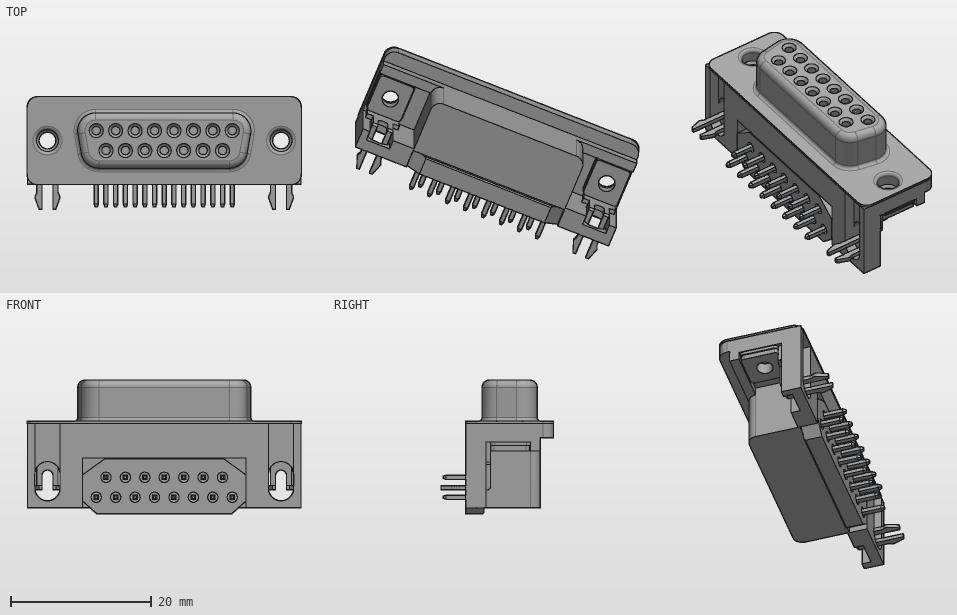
import cadquery as cq
import math


OVERALL_DEPTH = 16.11
OVERALL_HEIGHT = 19.1

FLANGE_LENGTH = 39.14
FLANGE_DEPTH = 12.58
FLANGE_THICKNESS = 0.35
FLANGE_CORNER_RADIUS = 1.5
FRONT_Y = -FLANGE_DEPTH / 2
BACK_Y = FLANGE_DEPTH / 2

MOUNT_SPACING = 33.3
MOUNT_X = MOUNT_SPACING / 2
MOUNT_HOLE_DIAMETER = 3.1
MOUNT_HOLE_LEAD_IN = 0.5
MOUNT_TAPER_TOP_Z = -2.05
NUT_HOLE_DIAMETER = 2.35

SHELL_HEIGHT = 5.86
SHELL_HALF_DEPTH = 3.95
SHELL_CORNER_RADIUS = 2.55
SHELL_BACK_CORNER_X = 9.8
SHELL_SIDE_ANGLE = math.radians(10)
SHELL_TOP_FILLET = 1.05
SHELL_BASE_FILLET = 0.5

HOUSING_LENGTH = 39.0
HOUSING_SETBACK = 0.03
HOUSING_FRONT_Y = FRONT_Y + HOUSING_SETBACK
HOUSING_BOTTOM_Z = -12.38
REAR_LIP_BOTTOM_Z = -2.4
REAR_RIB_BOTTOM_Z = -4.27
REAR_RIB_BACK_Y = BACK_Y - 1.9
CORE_HALF_LENGTH = 11.64
CORE_CORNER_RADIUS = 1.4
FRONT_WALL_THICKNESS = 2.94
FRONT_WALL_BACK_Y = FRONT_Y + FRONT_WALL_THICKNESS
END_POCKET_TOP_Z = -2.97
END_POCKET_BACK_Y = REAR_RIB_BACK_Y - CORE_CORNER_RADIUS

SLOT_WIDTH = 3.56
SLOT_TOP_Z = -5.78
SLOT_BOTTOM_Z = -11.35
CHANNEL_DEPTH = 1.6

OPENING_TOP_Z = -5.28
BLOCK_TOP_Z = -5.42
BLOCK_BOTTOM_Z = SHELL_HEIGHT - OVERALL_HEIGHT
BLOCK_DEPTH = 2.65
BLOCK_TOP_HALF_LENGTH = 8.55
BLOCK_BOTTOM_HALF_LENGTH = 9.63
BLOCK_UPPER_SHOULDER_Z = -7.67
BLOCK_LOWER_SHOULDER_Z = -11.4
BLOCK_EDGE_CHAMFER = 0.2

CONTACT_PITCH = 2.77
CONTACT_ROW_SPACING = 2.84
LONG_ROW_COUNT = 8
SHORT_ROW_COUNT = LONG_ROW_COUNT - 1
SOCKET_DIAMETER = 1.2
SOCKET_MOUTH_DIAMETER = 2.0
SOCKET_MOUTH_ANGLE = 90
SOCKET_DEPTH = 4.0
SHORT_ROW_TAIL_Z = -8.02
TAIL_WIDTH = 0.64
TAIL_REACH = 3.2
TAIL_TIP_LENGTH = 0.45
TAIL_TIP_WIDTH = 0.33
TAIL_RECESS_DIAMETER = 1.47
TAIL_RECESS_DEPTH = 0.5

BRACKET_THICKNESS = 0.63
LEG_THICKNESS = 0.52
LEG_HALF_WIDTH = 2.75
PLATE_HALF_WIDTH = 2.4
STOP_HALF_WIDTH = 2.5
STOP_TOP_Z = -5.8
STOP_HEIGHT = 0.4
BRACKET_CORNER_RADIUS = 0.6
NUT_INSET = 0.15
NUT_THICKNESS = 0.8
NUT_CORNER_RADIUS = 0.5
PRONG_INNER_X = 0.77
PRONG_OUTER_X = 1.53
BARB_X = 1.83
PRONG_TIP_X = 1.2
PRONG_BOTTOM_Z = -9.82
PRONG_REACH = OVERALL_DEPTH - FLANGE_DEPTH
BARB_START_REACH = 1.15
BARB_PEAK_REACH = 1.75
BARB_START_RADIUS = 0.8
BARB_PEAK_RADIUS = 0.4
PRONG_ARCH_TOP_Z = -7.0


def box(x_min, x_max, y_min, y_max, z_min, z_max):
    """Axis-aligned box between the given limits."""
    size = (x_max - x_min, y_max - y_min, z_max - z_min)
    return cq.Workplane("XY").box(*size, centered=False).translate((x_min, y_min, z_min))


def front_plane(y):
    """Plane at the given y: local x along X, local y along Z, extruding toward +Y."""
    return cq.Workplane(cq.Plane(origin=(0, y, 0), xDir=(1, 0, 0), normal=(0, -1, 0)))


def contact_xs(count):
    """X places of one evenly spaced row of contacts."""
    return [(i - (count - 1) / 2) * CONTACT_PITCH for i in range(count)]


def make_shell():
    radius = SHELL_CORNER_RADIUS
    center_y = SHELL_HALF_DEPTH - radius
    back_x = SHELL_BACK_CORNER_X
    front_x = back_x - 2 * center_y * math.tan(SHELL_SIDE_ANGLE)

    def on_corner(x, y, angle):
        return (x + radius * math.cos(angle), y + radius * math.sin(angle))

    def mirrored(point):
        return (-point[0], point[1])

    side = -SHELL_SIDE_ANGLE
    up = math.pi / 2
    front_end = on_corner(front_x, -center_y, -up)
    front_mid = on_corner(front_x, -center_y, (side - up) / 2)
    front_side = on_corner(front_x, -center_y, side)
    back_side = on_corner(back_x, center_y, side)
    back_mid = on_corner(back_x, center_y, (side + up) / 2)
    back_end = on_corner(back_x, center_y, up)
    shell = (
        cq.Workplane("XY")
        .moveTo(*mirrored(front_end))
        .lineTo(*front_end)
        .threePointArc(front_mid, front_side)
        .lineTo(*back_side)
        .threePointArc(back_mid, back_end)
        .lineTo(*mirrored(back_end))
        .threePointArc(mirrored(back_mid), mirrored(back_side))
        .lineTo(*mirrored(front_side))
        .threePointArc(mirrored(front_mid), mirrored(front_end))
        .close()
        .extrude(SHELL_HEIGHT)
    )
    return shell.faces(">Z").edges().fillet(SHELL_TOP_FILLET)


def make_flange_and_shell():
    flange = (
        cq.Workplane("XY")
        .rect(FLANGE_LENGTH, FLANGE_DEPTH)
        .extrude(-FLANGE_THICKNESS)
        .edges("|Z")
        .fillet(FLANGE_CORNER_RADIUS)
    )
    zone_x = MOUNT_X
    zone_y = SHELL_HALF_DEPTH + SHELL_BASE_FILLET
    zone_z = FLANGE_THICKNESS / 2
    joint = cq.selectors.BoxSelector((-zone_x, -zone_y, -zone_z), (zone_x, zone_y, zone_z))
    return flange.union(make_shell()).edges(joint).fillet(SHELL_BASE_FILLET)


def make_housing():
    half = HOUSING_LENGTH / 2
    top = -FLANGE_THICKNESS
    lip = box(-half, half, HOUSING_FRONT_Y, BACK_Y, REAR_LIP_BOTTOM_Z, top)
    lip = lip.edges("|Z and >Y").fillet(FLANGE_CORNER_RADIUS)
    rib = box(-half, half, HOUSING_FRONT_Y, REAR_RIB_BACK_Y, REAR_RIB_BOTTOM_Z, top)
    wall = box(-half, half, HOUSING_FRONT_Y, FRONT_WALL_BACK_Y, HOUSING_BOTTOM_Z, top)
    housing = lip.union(rib).union(wall)
    end_pocket = box(
        -half, half, FRONT_WALL_BACK_Y, END_POCKET_BACK_Y, HOUSING_BOTTOM_Z, END_POCKET_TOP_Z
    )
    core = box(
        -CORE_HALF_LENGTH, CORE_HALF_LENGTH, HOUSING_FRONT_Y, REAR_RIB_BACK_Y, HOUSING_BOTTOM_Z, top
    )
    core = core.edges("|Z and >Y").fillet(CORE_CORNER_RADIUS)
    return housing.cut(end_pocket).union(core)


def cut_channel(body, x):
    """Front channel with a round bottom, and behind it a round-topped slot open downward."""
    half = SLOT_WIDTH / 2
    channel_back_y = FRONT_Y + CHANNEL_DEPTH
    channel = (
        front_plane(FRONT_Y)
        .moveTo(x + half, -FLANGE_THICKNESS)
        .lineTo(x - half, -FLANGE_THICKNESS)
        .lineTo(x - half, SLOT_BOTTOM_Z + half)
        .threePointArc((x, SLOT_BOTTOM_Z), (x + half, SLOT_BOTTOM_Z + half))
        .close()
        .extrude(-CHANNEL_DEPTH)
    )
    slot = (
        front_plane(channel_back_y)
        .moveTo(x - half, HOUSING_BOTTOM_Z)
        .lineTo(x + half, HOUSING_BOTTOM_Z)
        .lineTo(x + half, SLOT_TOP_Z - half)
        .threePointArc((x, SLOT_TOP_Z), (x - half, SLOT_TOP_Z - half))
        .close()
        .extrude(channel_back_y - FRONT_WALL_BACK_Y)
    )
    return body.cut(channel).cut(slot)


def make_contact_block():
    right = [
        (BLOCK_BOTTOM_HALF_LENGTH, BLOCK_BOTTOM_Z),
        (CORE_HALF_LENGTH, BLOCK_LOWER_SHOULDER_Z),
        (CORE_HALF_LENGTH, BLOCK_UPPER_SHOULDER_Z),
        (BLOCK_TOP_HALF_LENGTH, BLOCK_TOP_Z),
    ]
    left = [(-x, z) for x, z in reversed(right)]
    block = front_plane(FRONT_Y).polyline(right + left).close().extrude(-BLOCK_DEPTH)
    return block.faces("<Z").edges(">Y").chamfer(BLOCK_EDGE_CHAMFER)


def cut_opening(body):
    opening = box(
        -CORE_HALF_LENGTH, CORE_HALF_LENGTH, FRONT_Y, FRONT_Y + BLOCK_DEPTH,
        HOUSING_BOTTOM_Z, OPENING_TOP_Z,
    )
    return body.cut(opening)


def make_tail(x, z):
    """Square contact tail with a tapered tip, rooted in its recess."""
    shaft_end_y = FRONT_Y - TAIL_REACH + TAIL_TIP_LENGTH
    root_y = FRONT_Y + TAIL_RECESS_DEPTH
    shaft = (
        front_plane(root_y).center(x, z).rect(TAIL_WIDTH, TAIL_WIDTH).extrude(root_y - shaft_end_y)
    )
    tip = (
        front_plane(shaft_end_y)
        .center(x, z)
        .rect(TAIL_WIDTH, TAIL_WIDTH)
        .workplane(offset=TAIL_TIP_LENGTH)
        .rect(TAIL_TIP_WIDTH, TAIL_TIP_WIDTH)
        .loft()
    )
    return shaft.union(tip)


def add_contact_row(body, count, row_y, tail_z):
    """One row of sockets in the mating face and its tails in the front face."""
    xs = contact_xs(count)
    body = (
        body.faces(">Z")
        .workplane(origin=(0, 0, SHELL_HEIGHT))
        .pushPoints([(x, row_y) for x in xs])
        .cskHole(SOCKET_DIAMETER, SOCKET_MOUTH_DIAMETER, SOCKET_MOUTH_ANGLE, SOCKET_DEPTH)
    )
    recesses = (
        front_plane(FRONT_Y)
        .pushPoints([(x, tail_z) for x in xs])
        .circle(TAIL_RECESS_DIAMETER / 2)
        .extrude(-TAIL_RECESS_DEPTH)
    )
    body = body.cut(recesses)
    for x in xs:
        body = body.union(make_tail(x, tail_z))
    return body


def make_prong():
    """Right-hand forward prong with a rounded barb on its outer side."""
    barb_start = (PRONG_OUTER_X, FRONT_Y - BARB_START_REACH)
    barb_peak = (BARB_X, FRONT_Y - BARB_PEAK_REACH)
    tip_y = FRONT_Y - PRONG_REACH
    prong = (
        cq.Workplane("XY")
        .workplane(offset=PRONG_BOTTOM_Z)
        .polyline([
            (PRONG_INNER_X, FRONT_WALL_BACK_Y),
            (PRONG_OUTER_X, FRONT_WALL_BACK_Y),
            barb_start,
            barb_peak,
            (PRONG_TIP_X, tip_y),
            (PRONG_INNER_X, tip_y),
        ])
        .close()
        .extrude(BRACKET_THICKNESS)
    )
    middle_z = PRONG_BOTTOM_Z + BRACKET_THICKNESS / 2
    for corner, radius in ((barb_start, BARB_START_RADIUS), (barb_peak, BARB_PEAK_RADIUS)):
        corner_edge = cq.selectors.NearestToPointSelector((*corner, middle_z))
        prong = prong.edges("|Z").edges(corner_edge).fillet(radius)
    return prong


def make_bracket():
    """Angle bracket centred on x = 0, with its nut and two barbed prongs."""
    plate_y = FRONT_WALL_BACK_Y + BRACKET_THICKNESS
    leg_bottom = END_POCKET_TOP_Z - LEG_THICKNESS
    leg = box(
        -LEG_HALF_WIDTH, LEG_HALF_WIDTH, plate_y, END_POCKET_BACK_Y,
        leg_bottom, END_POCKET_TOP_Z,
    )
    leg = leg.edges("|Z").fillet(BRACKET_CORNER_RADIUS)
    nut_half = LEG_HALF_WIDTH - NUT_INSET
    nut = box(
        -nut_half, nut_half, plate_y, END_POCKET_BACK_Y - NUT_INSET,
        leg_bottom - NUT_THICKNESS, leg_bottom,
    )
    nut = nut.edges("|Z").fillet(NUT_CORNER_RADIUS)

    stop_bottom_z = STOP_TOP_Z - STOP_HEIGHT
    right = [
        (PRONG_OUTER_X, PRONG_BOTTOM_Z),
        (PRONG_OUTER_X, stop_bottom_z),
        (STOP_HALF_WIDTH, stop_bottom_z),
        (STOP_HALF_WIDTH, STOP_TOP_Z),
        (PLATE_HALF_WIDTH, STOP_TOP_Z),
        (PLATE_HALF_WIDTH, END_POCKET_TOP_Z),
    ]
    left = [(-x, z) for x, z in reversed(right)]
    plate = (
        front_plane(FRONT_WALL_BACK_Y).polyline(right + left).close().extrude(-BRACKET_THICKNESS)
    )
    plate = plate.faces("<Z").edges(">Y").chamfer(BRACKET_THICKNESS / 2)
    arch = (
        front_plane(FRONT_WALL_BACK_Y)
        .moveTo(-PRONG_INNER_X, PRONG_BOTTOM_Z)
        .lineTo(PRONG_INNER_X, PRONG_BOTTOM_Z)
        .lineTo(PRONG_INNER_X, PRONG_ARCH_TOP_Z - PRONG_INNER_X)
        .threePointArc((0, PRONG_ARCH_TOP_Z), (-PRONG_INNER_X, PRONG_ARCH_TOP_Z - PRONG_INNER_X))
        .close()
        .extrude(-BRACKET_THICKNESS)
    )
    prong = make_prong()
    return leg.union(nut).union(plate.cut(arch)).union(prong).union(prong.mirror("YZ"))


def cut_mount_hole(body, x):
    """Hole with a rounded lead-in and a 45 degree taper down to the hole in the nut."""
    radius = MOUNT_HOLE_DIAMETER / 2
    nut_radius = NUT_HOLE_DIAMETER / 2
    taper_bottom = MOUNT_TAPER_TOP_Z - (radius - nut_radius)
    lead = MOUNT_HOLE_LEAD_IN
    arc_drop = lead * (1 - math.sqrt(0.5))
    hole = (
        cq.Workplane("XZ")
        .moveTo(0, taper_bottom)
        .lineTo(nut_radius, taper_bottom)
        .lineTo(radius, MOUNT_TAPER_TOP_Z)
        .lineTo(radius, -lead)
        .threePointArc((radius + arc_drop, -arc_drop), (radius + lead, 0))
        .lineTo(0, 0)
        .close()
        .revolve(360, (0, 0, 0), (0, 1, 0))
        .translate((x, 0, 0))
    )
    nut_hole = cq.Workplane("XY").center(x, 0).circle(nut_radius).extrude(HOUSING_BOTTOM_Z)
    return body.cut(hole).cut(nut_hole)


body = make_flange_and_shell().union(make_housing())
body = cut_opening(body).union(make_contact_block())
for mount_x in (-MOUNT_X, MOUNT_X):
    body = cut_channel(body, mount_x)
    body = body.union(make_bracket().translate((mount_x, 0, 0)))
    body = cut_mount_hole(body, mount_x)

row_y = CONTACT_ROW_SPACING / 2
body = add_contact_row(body, SHORT_ROW_COUNT, -row_y, SHORT_ROW_TAIL_Z)
body = add_contact_row(body, LONG_ROW_COUNT, row_y, SHORT_ROW_TAIL_Z - CONTACT_ROW_SPACING)
result = body